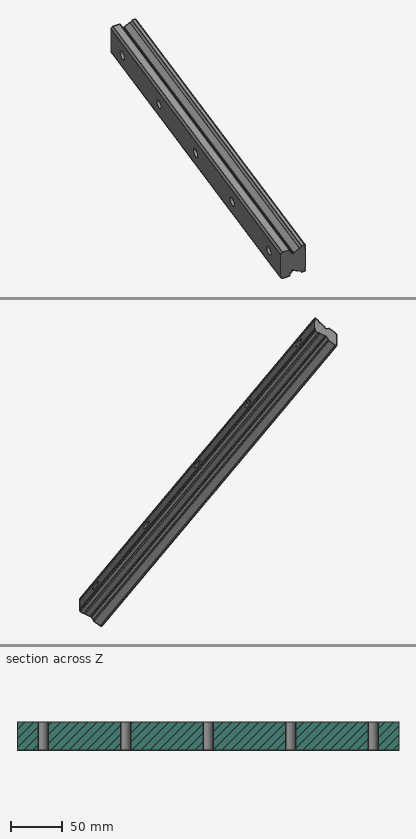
import cadquery as cq

length = 370.0
depth = 27.5
height = 34.0
front = -depth / 2
back = depth / 2
top = height / 2

front_chamfer = 2.2
back_chamfer = 1.0

shoulder_y = -3.0
shoulder_top_y = -3.7
shoulder_z = 14.0
relief_half_width = 0.7
relief_mouth_z = 11.5
relief_floor_z = 10.5
ramp_end_y = 7.0
ramp_end_z = 14.8
lip_y = 9.2
lip_arc_mid = (8.5, 15.0)

notch_low_z = 12.0
notch_high_z = 14.8
notch_depth = 1.0

hole_count = 5
hole_pitch = 80.0
hole_diameter = 9.2


def half_section():
    """Upper half of the rail section; local x is Y and local y is Z."""
    notch_mid = (back - notch_depth, (notch_low_z + notch_high_z) / 2)
    return (
        cq.Workplane("YZ", origin=(-length / 2, 0, 0))
        .moveTo(front, 0)
        .lineTo(front, top - front_chamfer)
        .lineTo(front + front_chamfer, top)
        .lineTo(shoulder_top_y, top)
        .lineTo(shoulder_y, shoulder_z)
        .lineTo(-relief_half_width, relief_mouth_z)
        .lineTo(-relief_half_width, relief_floor_z)
        .lineTo(relief_half_width, relief_floor_z)
        .lineTo(relief_half_width, relief_mouth_z)
        .lineTo(ramp_end_y, ramp_end_z)
        .threePointArc(lip_arc_mid, (lip_y, top))
        .lineTo(back - back_chamfer, top)
        .lineTo(back, top - back_chamfer)
        .lineTo(back, notch_high_z)
        .threePointArc(notch_mid, (back, notch_low_z))
        .lineTo(back, 0)
        .close()
    )


def rail_body():
    upper = half_section().extrude(length)
    return upper.union(upper.mirror("XY"))


def mounting_holes():
    return (
        cq.Workplane("XZ", origin=(0, back, 0))
        .rarray(hole_pitch, 3.7, hole_count, 1)
        .circle(hole_diameter / 2)
        .extrude(depth)
    )


result = rail_body().cut(mounting_holes()).clean()